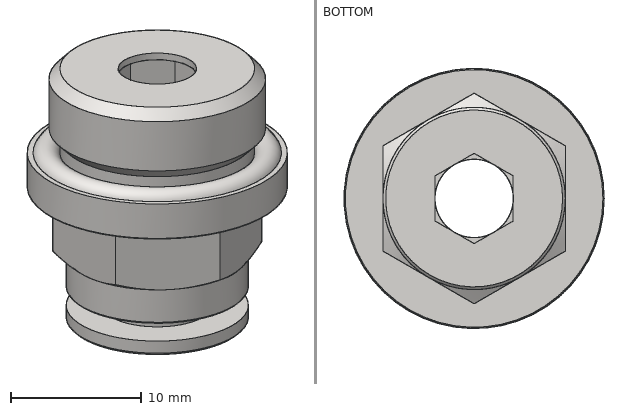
import cadquery as cq
import math

ring_top = 1.22
body_bottom = 2.65
hex_bottom = 5.5
flange_bottom = 11.0
flange_top = 13.99
bead_top = 14.68
undercut_top = 15.18
total_height = 21.0

ring_diameter = 14.0
neck_diameter = 8.48
flange_diameter = 20.0
bead_diameter = 19.09
undercut_diameter = 14.95
thread_diameter = 16.65
bore_diameter = 6.0

wrench_flats = ring_diameter
key_flats = bore_diameter
bore_lip = 0.57

ring_chamfer = 0.2
body_chamfer = 0.15
flange_chamfer = 0.1
hex_chamfer_angle = 30.0


def disc(diameter, bottom, top):
    """Cylinder on the Z axis between two heights."""
    return cq.Workplane("XY").workplane(offset=bottom).circle(diameter / 2).extrude(top - bottom)


def hexagon(flats, bottom, top):
    """Hexagonal prism on the Z axis between two heights."""
    corner_diameter = flats / math.cos(math.radians(30))
    plane = cq.Workplane("XY").workplane(offset=bottom)
    return plane.transformed(rotate=(0, 0, 90)).polygon(6, corner_diameter).extrude(top - bottom)


def wrench_hex():
    """Wrench hexagon with its lower corners cut back by a cone."""
    flat_radius = wrench_flats / 2
    outer_radius = flange_diameter / 2
    cone_rise = (outer_radius - flat_radius) * math.tan(math.radians(hex_chamfer_angle))
    envelope = (
        cq.Workplane("XZ")
        .moveTo(0, hex_bottom)
        .lineTo(flat_radius, hex_bottom)
        .lineTo(outer_radius, hex_bottom + cone_rise)
        .lineTo(outer_radius, flange_bottom)
        .lineTo(0, flange_bottom)
        .close()
        .revolve(360, (0, 0, 0), (0, 1, 0))
    )
    return hexagon(wrench_flats, hex_bottom, flange_bottom).intersect(envelope)


def sealing_bead():
    """Rounded seal on the flange, filling the space around the undercut."""
    inner_radius = undercut_diameter / 2
    outer_radius = bead_diameter / 2
    return (
        cq.Workplane("XZ")
        .moveTo(inner_radius, flange_top)
        .threePointArc(((inner_radius + outer_radius) / 2, bead_top), (outer_radius, flange_top))
        .close()
        .revolve(360, (0, 0, 0), (0, 1, 0))
    )


def bore():
    """Through bore: a short round lip at the top, hexagonal below it."""
    lip_bottom = total_height - bore_lip
    return disc(bore_diameter, lip_bottom, total_height).union(hexagon(key_flats, 0, lip_bottom))


ring = disc(ring_diameter, 0, ring_top).faces("<Z").chamfer(ring_chamfer)
neck = disc(neck_diameter, ring_top, body_bottom)
body = disc(ring_diameter, body_bottom, hex_bottom).faces("<Z").chamfer(body_chamfer)
flange = disc(flange_diameter, flange_bottom, flange_top).faces("<Z").chamfer(flange_chamfer)
undercut = disc(undercut_diameter, flange_top, undercut_top)

thread_chamfer = (thread_diameter - undercut_diameter) / 2
thread = disc(thread_diameter, undercut_top, total_height).faces("<Z or >Z").chamfer(thread_chamfer)

result = ring
for section in (neck, body, wrench_hex(), flange, sealing_bead(), undercut, thread):
    result = result.union(section)
result = result.cut(bore())